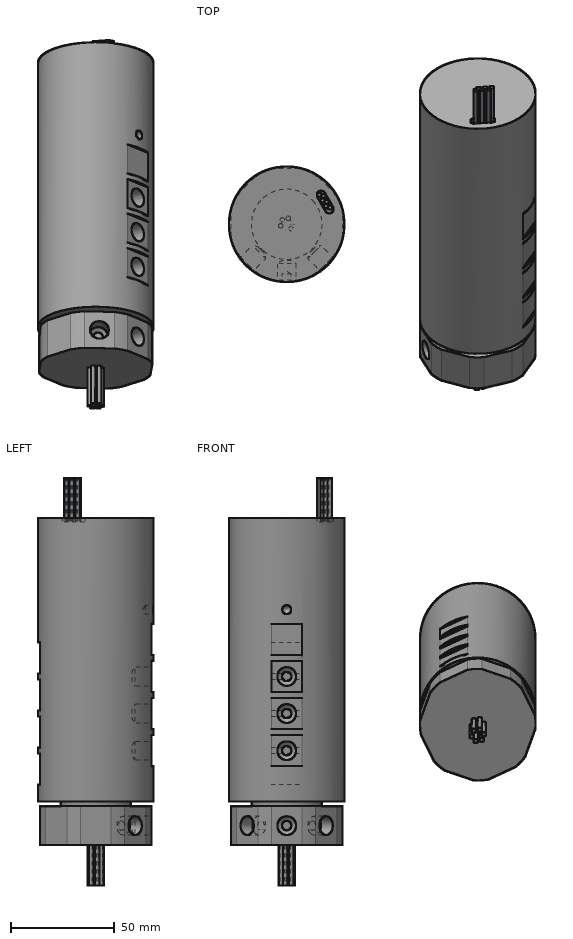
import cadquery as cq
import math

total_height = 197.0
lower_wire_length = 19.5
head_height = 19.0
neck_height = 2.2
body_height = 137.1
head_bottom = lower_wire_length
neck_bottom = head_bottom + head_height
body_bottom = neck_bottom + neck_height
body_top = body_bottom + body_height

body_diameter = 56.0
body_radius = body_diameter / 2
neck_diameter = 34.0
flat_distance = 27.0
head_flat_count = 8
flat_angle_step = 360 / head_flat_count

front_angle = -90.0
back_angle = 90.0

spot_face_height = 15.0
spot_face_count = 4
spot_face_pitch = 18.0
front_first_height = 24.6
back_first_height = front_first_height - spot_face_pitch / 2

port_diameter = 9.0
port_end_diameter = 4.5
port_depth = 8.0
drill_tip_angle = 118.0
port_count = 3
head_port_height = head_height / 2

pin_hole_diameter = 4.3
pin_hole_depth = 4.0
pin_hole_height = 92.8

wire_diameter = 2.2
wire_root = 2.0
wires_per_row = 3
upper_wire_pitch = 3.2
upper_wire_row_gap = 1.4
upper_wire_shift = 0.51
slot_angle = 30.0
slot_distance = 21.5
slot_length = 12.0
slot_width = 4.1
slot_depth = 2.0
lower_wire_count = 6
lower_wire_ring_radius = 3.0
lower_wire_start_angle = 15.0


def upright_cylinder(diameter, bottom, height):
    return cq.Workplane("XY").workplane(offset=bottom).circle(diameter / 2).extrude(height)


def flat_cutter(angle, bottom, height):
    """Block that removes everything outside a flat facing the given direction."""
    block = cq.Workplane("XY").box(body_radius, body_diameter, height, centered=(False, True, False))
    block = block.translate((flat_distance, 0, bottom))
    return block.rotate((0, 0, 0), (0, 0, 1), angle)


def drilled_hole(angle, height, diameter, end_diameter, depth, start_distance):
    """Radial bore with a drill-point cone that stops at end_diameter."""
    radius = diameter / 2
    end_radius = end_diameter / 2
    tip_length = (radius - end_radius) / math.tan(math.radians(drill_tip_angle / 2))
    bore_end = start_distance - depth
    tip_end = bore_end - tip_length
    profile = [(body_radius, 0), (body_radius, radius), (bore_end, radius)]
    profile.append((tip_end, end_radius))
    if end_radius > 0:
        profile.append((tip_end, 0))
    hole = cq.Workplane("XZ").polyline(profile).close().revolve(360, (0, 0, 0), (1, 0, 0))
    return hole.translate((0, 0, height)).rotate((0, 0, 0), (0, 0, 1), angle)


def port(angle, height):
    return drilled_hole(angle, height, port_diameter, port_end_diameter, port_depth, flat_distance)


def make_head():
    head = upright_cylinder(body_diameter, head_bottom, head_height)
    for i in range(head_flat_count):
        head = head.cut(flat_cutter(i * flat_angle_step, head_bottom, head_height))
    for step in (-1, 0, 1):
        angle = front_angle + step * flat_angle_step
        head = head.cut(port(angle, head_bottom + head_port_height))
    return head


def make_body():
    body = upright_cylinder(body_diameter, body_bottom, body_height)
    for angle, first_height in ((front_angle, front_first_height), (back_angle, back_first_height)):
        for i in range(spot_face_count):
            bottom = body_bottom + first_height + i * spot_face_pitch - spot_face_height / 2
            body = body.cut(flat_cutter(angle, bottom, spot_face_height))
    for i in range(port_count):
        body = body.cut(port(front_angle, body_bottom + front_first_height + i * spot_face_pitch))
    pin_height = body_bottom + pin_hole_height
    return body.cut(
        drilled_hole(front_angle, pin_height, pin_hole_diameter, 0, pin_hole_depth, body_radius)
    )


def make_wire_slot():
    slot = cq.Workplane("XY").workplane(offset=body_top - slot_depth).center(slot_distance, 0)
    slot = slot.slot2D(slot_length, slot_width, 90).extrude(slot_depth)
    return slot.rotate((0, 0, 0), (0, 0, 1), slot_angle)


def make_upper_wires():
    """Two staggered rows of wires rising from below the slot floor."""
    row_length = (wires_per_row - 1) * upper_wire_pitch
    centers = []
    for side in (-1, 1):
        x = slot_distance + side * upper_wire_row_gap / 2
        row_middle = upper_wire_shift - side * upper_wire_pitch / 4
        for i in range(wires_per_row):
            centers.append((x, row_middle - row_length / 2 + i * upper_wire_pitch))
    bottom = body_top - slot_depth - wire_root
    wires = cq.Workplane("XY").workplane(offset=bottom).pushPoints(centers)
    wires = wires.circle(wire_diameter / 2).extrude(total_height - bottom)
    return wires.rotate((0, 0, 0), (0, 0, 1), slot_angle)


def make_lower_wires():
    """Ring of wires hanging from the middle of the head."""
    wires = cq.Workplane("XY").polarArray(
        lower_wire_ring_radius, lower_wire_start_angle, 360, lower_wire_count
    )
    return wires.circle(wire_diameter / 2).extrude(lower_wire_length + wire_root)


neck = upright_cylinder(neck_diameter, neck_bottom, neck_height)
housing = make_head().union(neck).union(make_body()).cut(make_wire_slot())
result = housing.union(make_upper_wires()).union(make_lower_wires())